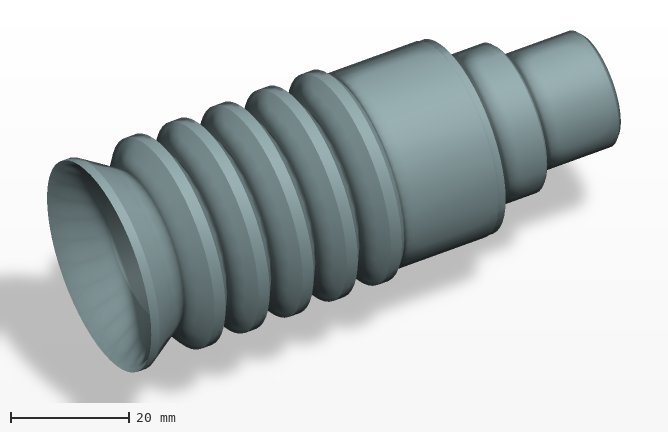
import cadquery as cq

total_length = 94.8

bellows_diameter = 38.0
valley_diameter = 29.1
lip_rim_width = 1.6
lip_height = 8.6
fold_count = 5
fold_pitch = 8.4
fold_front_length = 3.5
fold_crest_width = 2.1

body_diameter = 35.3
body_start = 49.3
collar_diameter = 35.0
collar_start = 67.2
collar_end = 68.6
neck_diameter = 27.0
neck_end = 78.9
neck_chamfer = 0.4
spigot_diameter = 20.95
spigot_chamfer = 0.9

cavity_diameter = 25.5
lip_cone_depth = 8.1
cavity_depth = body_start
through_hole_diameter = 15.0


def bellows_profile():
    """Outer (radius, Y) points from the lip rim to the last fold crest."""
    crest_radius = bellows_diameter / 2
    valley_radius = valley_diameter / 2
    points = [(crest_radius, 0), (crest_radius, lip_rim_width)]
    for fold in range(fold_count):
        valley = lip_height + fold * fold_pitch
        crest = valley + fold_front_length
        points += [
            (valley_radius, valley),
            (crest_radius, crest),
            (crest_radius, crest + fold_crest_width),
        ]
    return points


def body_profile():
    """Outer points of the cylindrical body and the slightly smaller collar at its end."""
    body_radius = body_diameter / 2
    collar_radius = collar_diameter / 2
    return [
        (body_radius, body_start),
        (body_radius, collar_start),
        (collar_radius, collar_start),
        (collar_radius, collar_end),
    ]


def stepped_end_profile():
    """Outer points of the chamfered neck and spigot."""
    neck_radius = neck_diameter / 2
    spigot_radius = spigot_diameter / 2
    return [
        (neck_radius, collar_end),
        (neck_radius, neck_end - neck_chamfer),
        (neck_radius - neck_chamfer, neck_end),
        (spigot_radius, neck_end),
        (spigot_radius, total_length - spigot_chamfer),
        (spigot_radius - spigot_chamfer, total_length),
    ]


def cavity_profile():
    """Inner points from the through hole back to the lip edge."""
    hole_radius = through_hole_diameter / 2
    cavity_radius = cavity_diameter / 2
    return [
        (hole_radius, total_length),
        (hole_radius, cavity_depth),
        (cavity_radius, cavity_depth),
        (cavity_radius, lip_cone_depth),
    ]


profile = bellows_profile() + body_profile() + stepped_end_profile() + cavity_profile()
result = cq.Workplane("XY").polyline(profile).close().revolve(360, (0, 0, 0), (0, 1, 0))